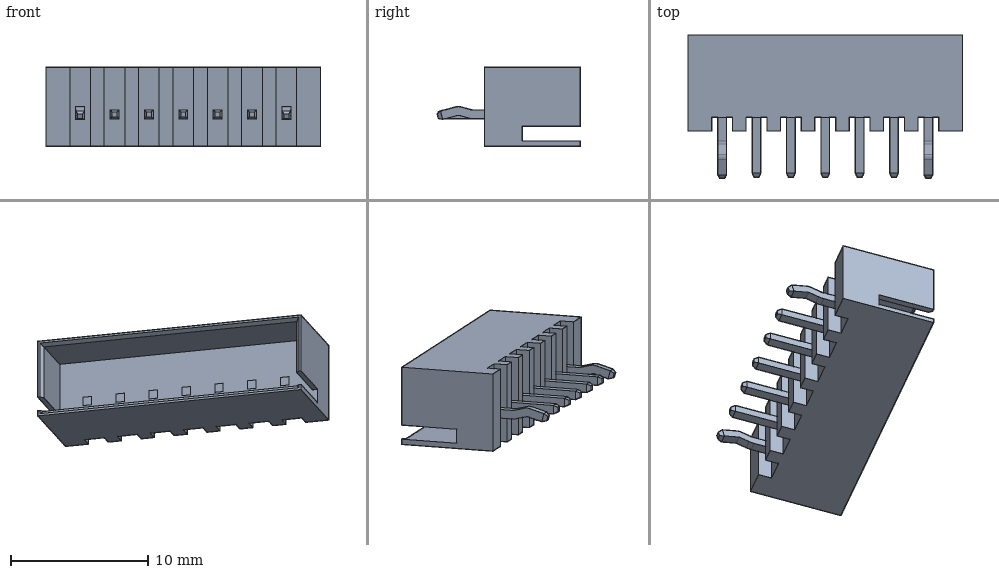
import cadquery as cq
import math

LENGTH = 20.0
DEPTH = 7.0
HEIGHT = 5.75

WALL = 0.4
SOCKET_DEPTH = 4.22
MOUTH_CHAMFER = 0.25
SLOT_HEIGHT = 1.05

PIN_COUNT = 7
PITCH = 2.5
PIN_SIDE = 0.65
PIN_Z = 2.32
PIN_REACH = 3.35
TIP_LENGTH = 0.3
TIP_INSET = 0.15

NOTCH_WIDTH = 1.5
NOTCH_DEPTH = 1.0

KINK_START = 0.72
KINK_ANGLE = math.radians(15)
RISE_RADIUS = 1.2
CREST_RADIUS = 0.38
RISE_LENGTH = 0.78
FALL_LENGTH = 1.15

SOCKET_FLOOR_Y = DEPTH - SOCKET_DEPTH
PIN_XS = [(i - (PIN_COUNT - 1) / 2) * PITCH for i in range(PIN_COUNT)]


def block(x_size, y_from, y_to, z_from, z_to, x_center=0):
    """A box centred on x_center, between the given Y and Z limits."""
    size = (x_size, y_to - y_from, z_to - z_from)
    return cq.Workplane().box(*size, centered=(True, False, False)).translate((x_center, y_from, z_from))


def make_socket():
    """The space to remove for the socket, flared at its mouth."""
    width = LENGTH - 2 * WALL
    socket = block(width, SOCKET_FLOOR_Y, DEPTH, WALL, HEIGHT - WALL)
    flare = (
        cq.Workplane("XZ", origin=(0, DEPTH, HEIGHT / 2))
        .rect(width + 2 * MOUTH_CHAMFER, HEIGHT - 2 * WALL + 2 * MOUTH_CHAMFER)
        .workplane(offset=MOUTH_CHAMFER)
        .rect(width, HEIGHT - 2 * WALL)
        .loft(ruled=True)
    )
    return socket.union(flare)


def make_housing():
    housing = block(LENGTH, 0, DEPTH, 0, HEIGHT).cut(make_socket())
    housing = housing.cut(block(LENGTH, SOCKET_FLOOR_Y, DEPTH, WALL, WALL + SLOT_HEIGHT))
    pin_z_limits = (PIN_Z - PIN_SIDE / 2, PIN_Z + PIN_SIDE / 2)
    for x in PIN_XS:
        housing = housing.cut(block(NOTCH_WIDTH, 0, NOTCH_DEPTH, 0, HEIGHT, x))
        housing = housing.cut(block(PIN_SIDE, 0, SOCKET_FLOOR_Y, *pin_z_limits, x))
    return housing


def make_tip(end, direction):
    """The tapered point of a pin, from the given end of its shank."""
    base = cq.Plane(origin=end, xDir=(1, 0, 0), normal=direction)
    end_side = PIN_SIDE - 2 * TIP_INSET
    return (
        cq.Workplane(base)
        .rect(PIN_SIDE, PIN_SIDE)
        .workplane(offset=TIP_LENGTH)
        .rect(end_side, end_side)
        .loft(ruled=True)
    )


def make_straight_pin(x):
    shank_end = -PIN_REACH + TIP_LENGTH
    half = PIN_SIDE / 2
    shank = block(PIN_SIDE, shank_end, SOCKET_FLOOR_Y, PIN_Z - half, PIN_Z + half, x)
    return shank.union(make_tip((x, shank_end, PIN_Z), (0, -1, 0)))


def make_kinked_pin(x):
    sin_a = math.sin(KINK_ANGLE)
    cos_a = math.cos(KINK_ANGLE)

    rise_y = -KINK_START - RISE_RADIUS * sin_a
    rise_z = PIN_Z + RISE_RADIUS * (1 - cos_a)
    crest_y = rise_y - RISE_LENGTH * cos_a
    crest_z = rise_z + RISE_LENGTH * sin_a
    fall_y = crest_y - 2 * CREST_RADIUS * sin_a
    end_y = fall_y - FALL_LENGTH * cos_a
    end_z = crest_z - FALL_LENGTH * sin_a
    center_line = (
        cq.Workplane("YZ", origin=(x, 0, 0))
        .moveTo(SOCKET_FLOOR_Y, PIN_Z)
        .lineTo(-KINK_START, PIN_Z)
        .tangentArcPoint((rise_y, rise_z), relative=False)
        .lineTo(crest_y, crest_z)
        .tangentArcPoint((fall_y, crest_z), relative=False)
        .lineTo(end_y, end_z)
    )

    section = cq.Workplane("XZ", origin=(x, SOCKET_FLOOR_Y, PIN_Z)).rect(PIN_SIDE, PIN_SIDE)
    shank = section.sweep(center_line)
    return shank.union(make_tip((x, end_y, end_z), (0, -cos_a, -sin_a)))


housing = make_housing()
straight_pins = [make_straight_pin(x) for x in PIN_XS[1:-1]]
kinked_pins = [make_kinked_pin(x) for x in (PIN_XS[0], PIN_XS[-1])]

pins = straight_pins + kinked_pins
result = cq.Compound.makeCompound([housing.val(), *[pin.val() for pin in pins]])